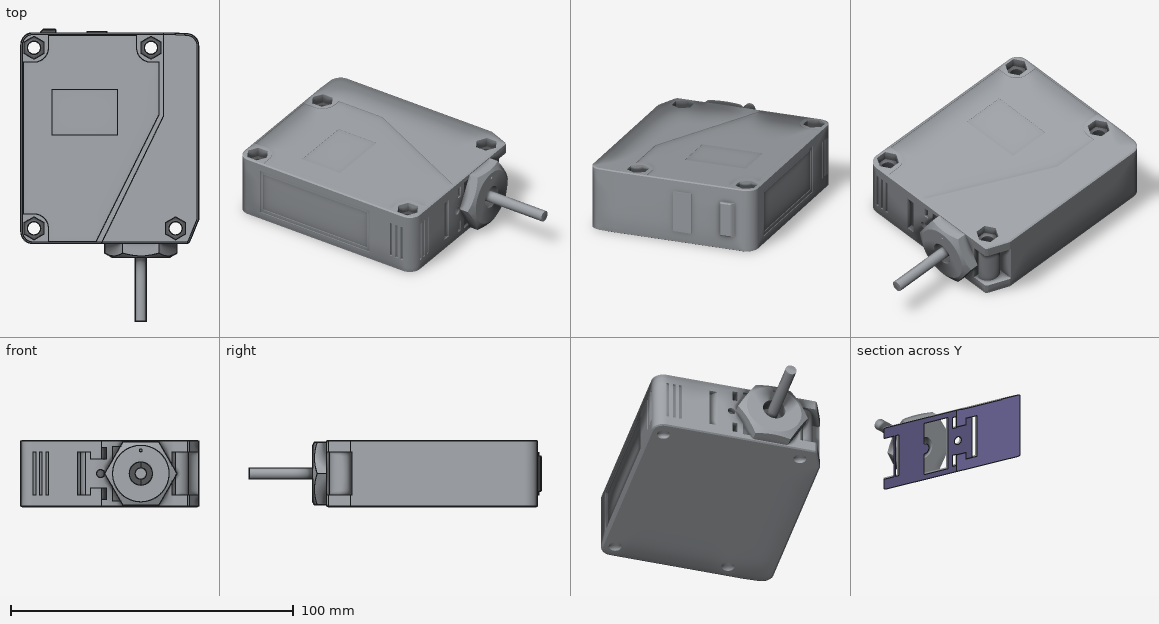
import cadquery as cq
import math

WIDTH = 63.0
LENGTH = 74.6
THICKNESS = 23.5
MID_Z = THICKNESS / 2
CORNER_RADIUS = 4.3
EDGE_BEVEL_DROP = 0.3
EDGE_BEVEL_INSET = 0.6

TAPER_START_X = 53.0
TAPER_DROP = 0.3
CUT_CORNER_X = 3.2
CUT_CORNER_Y = 8.5
CUT_CORNER_NOSE = 0.7

LEFT_HOLE_X = 4.7
FRONT_HOLE_Y = 5.4
BACK_HOLE_Y = 69.3
BACK_RIGHT_HOLE = (46.1, BACK_HOLE_Y)
BACK_LEFT_HOLE = (LEFT_HOLE_X, BACK_HOLE_Y)
FRONT_LEFT_HOLE = (LEFT_HOLE_X, FRONT_HOLE_Y)
FRONT_RIGHT_HOLE = (54.8, FRONT_HOLE_Y)
MOUNTING_HOLES = [BACK_LEFT_HOLE, BACK_RIGHT_HOLE, FRONT_LEFT_HOLE, FRONT_RIGHT_HOLE]
HOLE_DIAMETER = 4.6
POCKET_ACROSS_FLATS = 7.0
POCKET_DEPTH = 3.5

SEAM_X = 50.6
SEAM_KINK_Y = 45.3
SEAM_FRONT_X = 28.5

LATCH_DEPTH = 2.0
LATCH_SLOT_X = 20.1
LATCH_TIP_X = 21.2
LATCH_BEVEL_X = 23.0
LATCH_NECK_X = 24.75
LATCH_HEAD_HEIGHT = 15.3
LATCH_NECK_HEIGHT = 10.3
RELIEF_WIDTH = 1.9
RELIEF_OUTER_HEIGHT = 18.4
RELIEF_DEPTH = RELIEF_WIDTH * SEAM_KINK_Y / (SEAM_X - SEAM_FRONT_X)
LATCH_HOLE_X = 28.25
LATCH_HOLE_DIAMETER = 2.8

PANEL_DEPTH = 0.2
PANEL_LEFT_X = 1.0
PANEL_BACK_Y = 73.7
PANEL_RIGHT_X = 49.0
PANEL_KINK_Y = 45.8
PANEL_FRONT_X = 26.7
PANEL_FRONT_Y = 0.8
EAR_RADIUS = 5.1
LABEL_X = (11.0, 34.2)
LABEL_Y = (38.4, 54.5)
LABEL_DEPTH = 0.1

WINDOW_Y = (18.6, 65.1)
WINDOW_HEIGHT = 17.5
WINDOW_RIM = 1.25
WINDOW_STEP = 0.3

SLOT_START = 4.4
SLOT_COUNT = 3
SLOT_WIDTH = 0.95
SLOT_DEPTH = 0.6
SLOT_PITCH = 2.25
SIDE_SLOT_HEIGHT = 13.7
FRONT_SLOT_HEIGHT = 15.3

BUTTON_X = (6.85, 12.4)
BUTTON_SLOPE = 1.2
BUTTON_RISE = 1.4
BUTTON_BEVEL = 0.35
BUTTON_HEIGHT = 12.6
INDICATOR_X = (23.4, 30.5)
INDICATOR_RISE = 0.5
INDICATOR_HEIGHT = 15.0

CHANNEL_HEIGHT = 15.3
CHANNEL_LEFT_X = 53.5
CHANNEL_DEPTH = 9.0
POST_RADIUS = 4.5
POST_GAP_DEPTH = 2.5

GLAND_X = 42.5
GLAND_ACROSS_FLATS = 22.2
GLAND_LENGTH = 5.0
GLAND_FACE_DIAMETER = 20.0
GLAND_CHAMFER_ANGLE = 30.0
GLAND_BORE_DIAMETER = 8.2
GLAND_DOT_DIAMETER = 1.0
GLAND_DOT_RADIUS = 8.2
GLAND_DOT_DEPTH = 0.5
GLAND_SEAT_X = 32.5
GLAND_SEAT_HEIGHT = 19.3
GLAND_SEAT_DEPTH = 1.0
CABLE_DIAMETER = 4.0
CABLE_END_Y = -27.5


def box(x_range, y_range, z_range):
    """Box between the given limits."""
    (x0, x1), (y0, y1), (z0, z1) = x_range, y_range, z_range
    return cq.Workplane("XY").box(x1 - x0, y1 - y0, z1 - z0, centered=False).translate((x0, y0, z0))


def centred_z(height):
    """Z limits of a feature of this height, centred in the thickness."""
    return (MID_Z - height / 2, MID_Z + height / 2)


def centred_prism(outline, height):
    """Extrude an XY outline to the given height, centred in the thickness."""
    return outline.extrude(height).translate((0, 0, MID_Z - height / 2))


def arc_point(centre, radius, degrees):
    """Point on a circle at the given angle."""
    angle = math.radians(degrees)
    return (centre[0] + radius * math.cos(angle), centre[1] + radius * math.sin(angle))


def front_cylinder(x, z, diameter, y_start, y_end):
    """Cylinder along Y."""
    return (
        cq.Workplane("XZ", origin=(x, y_start, z))
        .circle(diameter / 2)
        .extrude(y_start - y_end)
    )


def make_block():
    """Whole case, before it is split into housing and cover."""
    r = CORNER_RADIUS
    back_right_y = LENGTH - TAPER_DROP
    block = (
        cq.Workplane("XY")
        .moveTo(r, 0)
        .lineTo(WIDTH - CUT_CORNER_X - CUT_CORNER_NOSE, 0)
        .lineTo(WIDTH - CUT_CORNER_X, CUT_CORNER_NOSE)
        .lineTo(WIDTH, CUT_CORNER_Y)
        .lineTo(WIDTH, back_right_y - r)
        .threePointArc(arc_point((WIDTH - r, back_right_y - r), r, 45), (WIDTH - r, back_right_y))
        .lineTo(TAPER_START_X, LENGTH)
        .lineTo(r, LENGTH)
        .threePointArc(arc_point((r, LENGTH - r), r, 135), (0, LENGTH - r))
        .lineTo(0, r)
        .threePointArc(arc_point((r, r), r, 225), (r, 0))
        .close()
        .extrude(THICKNESS)
    )
    block = block.faces("<Z or >Z").chamfer(EDGE_BEVEL_DROP, EDGE_BEVEL_INSET)
    holes = cq.Workplane("XY").pushPoints(MOUNTING_HOLES).circle(HOLE_DIAMETER / 2).extrude(THICKNESS)
    pocket_across_corners = POCKET_ACROSS_FLATS / math.cos(math.pi / 6)
    pockets = (
        cq.Workplane("XY", origin=(0, 0, THICKNESS - POCKET_DEPTH))
        .transformed(rotate=(0, 0, 90))
        .pushPoints([(y, -x) for x, y in MOUNTING_HOLES])
        .polygon(6, pocket_across_corners)
        .extrude(POCKET_DEPTH)
    )
    return block.cut(holes).cut(pockets)


def make_latch_recess():
    """T-shaped opening in the front face, from the seam to the far end of the slot."""
    depth = (0, LATCH_DEPTH)
    head = box((LATCH_SLOT_X, LATCH_NECK_X), depth, centred_z(LATCH_HEAD_HEIGHT))
    neck = box((LATCH_NECK_X, SEAM_FRONT_X + LATCH_DEPTH), depth, centred_z(LATCH_NECK_HEIGHT))
    return head.union(neck)


def make_cover_zone():
    """Space on the cover side of the seam, including the latch recess."""
    right_side = (
        cq.Workplane("XY")
        .moveTo(SEAM_FRONT_X, 0)
        .lineTo(SEAM_X, SEAM_KINK_Y)
        .lineTo(SEAM_X, LENGTH)
        .lineTo(WIDTH, LENGTH)
        .lineTo(WIDTH, 0)
        .close()
        .extrude(THICKNESS)
    )
    return right_side.union(make_latch_recess())


def make_panel_recess():
    """Shallow top panel whose outline steps around three mounting holes."""
    e = EAR_RADIUS
    left_x, back_y = BACK_LEFT_HOLE
    right_x = BACK_RIGHT_HOLE[0]
    front_y = FRONT_HOLE_Y
    return (
        cq.Workplane("XY", origin=(0, 0, THICKNESS - PANEL_DEPTH))
        .moveTo(left_x + e, PANEL_FRONT_Y)
        .lineTo(PANEL_FRONT_X, PANEL_FRONT_Y)
        .lineTo(PANEL_RIGHT_X, PANEL_KINK_Y)
        .lineTo(PANEL_RIGHT_X, back_y - e)
        .lineTo(right_x, back_y - e)
        .threePointArc(arc_point(BACK_RIGHT_HOLE, e, 225), (right_x - e, back_y))
        .lineTo(right_x - e, PANEL_BACK_Y)
        .lineTo(left_x + e, PANEL_BACK_Y)
        .lineTo(left_x + e, back_y)
        .threePointArc(arc_point(BACK_LEFT_HOLE, e, 315), (left_x, back_y - e))
        .lineTo(PANEL_LEFT_X, back_y - e)
        .lineTo(PANEL_LEFT_X, front_y + e)
        .lineTo(left_x, front_y + e)
        .threePointArc(arc_point(FRONT_LEFT_HOLE, e, 45), (left_x + e, front_y))
        .close()
        .extrude(PANEL_DEPTH)
    )


def make_label_recess():
    """Rectangular label area sunk into the panel."""
    panel_z = THICKNESS - PANEL_DEPTH
    return box(LABEL_X, LABEL_Y, (panel_z - LABEL_DEPTH, panel_z))


def make_window_recess():
    """Two-step rectangular recess in the -X face."""
    inner_y = (WINDOW_Y[0] + WINDOW_RIM, WINDOW_Y[1] - WINDOW_RIM)
    inner_height = WINDOW_HEIGHT - 2 * WINDOW_RIM
    outer = box((0, WINDOW_STEP), WINDOW_Y, centred_z(WINDOW_HEIGHT))
    inner = box((0, 2 * WINDOW_STEP), inner_y, centred_z(inner_height))
    return outer.union(inner)


def cut_grip_slots(body):
    """Rows of slots on the -X and front faces, starting beside the rounded corner."""
    for i in range(SLOT_COUNT):
        start = SLOT_START + i * SLOT_PITCH
        slot_range = (start, start + SLOT_WIDTH)
        body = body.cut(box((0, SLOT_DEPTH), slot_range, centred_z(SIDE_SLOT_HEIGHT)))
        body = body.cut(box(slot_range, (0, SLOT_DEPTH), centred_z(FRONT_SLOT_HEIGHT)))
    return body


def make_button():
    """Raised button on the back face with one sloping side."""
    outline = (
        cq.Workplane("XY")
        .moveTo(BUTTON_X[0], LENGTH)
        .lineTo(BUTTON_X[1], LENGTH)
        .lineTo(BUTTON_X[1], LENGTH + BUTTON_RISE)
        .lineTo(BUTTON_X[0] + BUTTON_SLOPE, LENGTH + BUTTON_RISE)
        .close()
    )
    return centred_prism(outline, BUTTON_HEIGHT).faces(">Y").chamfer(BUTTON_BEVEL)


def make_indicator():
    """Low raised pad on the back face."""
    return box(INDICATOR_X, (LENGTH, LENGTH + INDICATOR_RISE), centred_z(INDICATOR_HEIGHT))


def make_housing(block):
    """Sensor housing on the -X side of the seam."""
    body = block.cut(make_cover_zone())
    body = body.cut(make_panel_recess()).cut(make_label_recess()).cut(make_window_recess())
    body = cut_grip_slots(body)
    return body.union(make_button()).union(make_indicator())


def make_latch_clearance():
    """Gap beyond the bevelled tip of the latch."""
    outline = (
        cq.Workplane("XY")
        .moveTo(LATCH_SLOT_X, 0)
        .lineTo(LATCH_BEVEL_X, 0)
        .lineTo(LATCH_TIP_X, LATCH_DEPTH)
        .lineTo(LATCH_SLOT_X, LATCH_DEPTH)
        .close()
    )
    return centred_prism(outline, LATCH_HEAD_HEIGHT)


def make_latch_reliefs():
    """Notches in the cover above and below the latch neck."""
    x_range = (SEAM_FRONT_X, SEAM_FRONT_X + RELIEF_WIDTH)
    low_outer, high_outer = centred_z(RELIEF_OUTER_HEIGHT)
    low_inner, high_inner = centred_z(LATCH_NECK_HEIGHT)
    lower = box(x_range, (0, RELIEF_DEPTH), (low_outer, low_inner))
    upper = box(x_range, (0, RELIEF_DEPTH), (high_inner, high_outer))
    return lower.union(upper)


def make_corner_channel():
    """Channel open to the front and +X, running around the rounded side of the post."""
    post_x, post_y = FRONT_RIGHT_HOLE
    post_front_y = post_y - POST_RADIUS
    post_right_x = post_x + POST_RADIUS
    post_end_x = post_x + math.sqrt(POST_RADIUS**2 - (CHANNEL_DEPTH - post_y) ** 2)
    outline = (
        cq.Workplane("XY")
        .moveTo(CHANNEL_LEFT_X, 0)
        .lineTo(CHANNEL_LEFT_X, POST_GAP_DEPTH)
        .lineTo(post_x, POST_GAP_DEPTH)
        .lineTo(post_x, post_front_y)
        .threePointArc((post_right_x, post_y), (post_end_x, CHANNEL_DEPTH))
        .lineTo(WIDTH, CHANNEL_DEPTH)
        .lineTo(WIDTH, 0)
        .close()
    )
    return centred_prism(outline, CHANNEL_HEIGHT)


def make_gland():
    """Hexagonal gland with a chamfered face, a bore and a marking dot."""
    across_corners = GLAND_ACROSS_FLATS / math.cos(math.pi / 6)
    face_radius = GLAND_FACE_DIAMETER / 2
    cone_base_radius = face_radius + GLAND_LENGTH / math.tan(math.radians(GLAND_CHAMFER_ANGLE))
    hexagon = (
        cq.Workplane("XZ", origin=(GLAND_X, 0, MID_Z))
        .polygon(6, across_corners)
        .extrude(GLAND_LENGTH)
    )
    cone = cq.Workplane(
        cq.Solid.makeCone(
            cone_base_radius,
            face_radius,
            GLAND_LENGTH,
            cq.Vector(GLAND_X, 0, MID_Z),
            cq.Vector(0, -1, 0),
        )
    )
    face_y = -GLAND_LENGTH
    bore = front_cylinder(GLAND_X, MID_Z, GLAND_BORE_DIAMETER, 0, face_y)
    dot_z = MID_Z + GLAND_DOT_RADIUS
    dot = front_cylinder(GLAND_X, dot_z, GLAND_DOT_DIAMETER, face_y + GLAND_DOT_DEPTH, face_y)
    return hexagon.intersect(cone).cut(bore).cut(dot)


def make_cover(block):
    """Terminal cover on the +X side of the seam, with its latch, gland and cable."""
    body = block.intersect(make_cover_zone())
    body = body.cut(make_latch_clearance()).cut(make_latch_reliefs()).cut(make_corner_channel())
    body = body.cut(front_cylinder(LATCH_HOLE_X, MID_Z, LATCH_HOLE_DIAMETER, LATCH_DEPTH, 0))
    body = body.cut(box((GLAND_SEAT_X, GLAND_X), (0, GLAND_SEAT_DEPTH), centred_z(GLAND_SEAT_HEIGHT)))
    cable = front_cylinder(GLAND_X, MID_Z, CABLE_DIAMETER, GLAND_SEAT_DEPTH, CABLE_END_Y)
    return body.union(make_gland()).union(cable)


case_block = make_block()
housing = make_housing(case_block)
cover = make_cover(case_block)
result = cq.Compound.makeCompound([housing.val(), cover.val()])